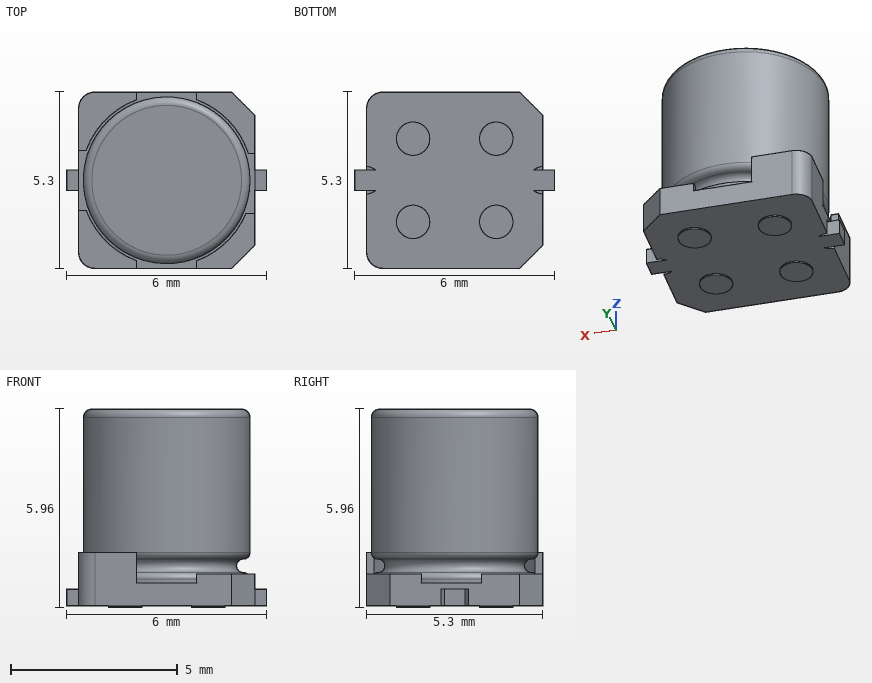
import cadquery as cq


base_size = 5.3
half_base = base_size / 2
corner_radius = 0.5
corner_chamfer = 0.7
high_pillar_top = 1.6
low_pillar_top = 0.96
recess_floor = 0.69
recess_radius = 2.58
notch_width = 1.8
right_notch_shift = -0.1

can_radius = 2.5
can_top = 5.905
top_fillet = 0.25
bead_radius = 0.201
groove_top = high_pillar_top - bead_radius
groove_bottom = groove_top - 2 * bead_radius
can_foot = groove_bottom - bead_radius
neck_radius = can_radius - bead_radius

terminal_span = 6.0
terminal_width = 0.62
terminal_height = 0.5
relief_diameter = 0.82

foot_diameter = 1.0
foot_height = 0.05
foot_spacing = 2.495


def block(x_range, y_range, z_range):
    """Axis-aligned box between the given limits."""
    size = [high - low for low, high in (x_range, y_range, z_range)]
    corner = (x_range[0], y_range[0], z_range[0])
    return cq.Workplane("XY").box(*size, centered=False).translate(corner)


def make_base():
    """Square base with four pillars standing around the round recess."""
    base = cq.Workplane("XY").rect(base_size, base_size).extrude(high_pillar_top)
    base = base.edges("|Z and <X").fillet(corner_radius)
    base = base.edges("|Z and >X").chamfer(corner_chamfer)

    recess = (
        cq.Workplane("XY", origin=(0, 0, recess_floor))
        .circle(recess_radius)
        .extrude(high_pillar_top - recess_floor)
    )
    half_notch = notch_width / 2
    full_range = (-half_base, half_base)
    left_notch_y = (-half_notch, half_notch)
    right_notch_y = (right_notch_shift - half_notch, right_notch_shift + half_notch)
    open_z = (recess_floor, high_pillar_top)

    base = base.cut(recess)
    base = base.cut(block((-half_notch, half_notch), full_range, open_z))
    base = base.cut(block((-half_base, 0), left_notch_y, open_z))
    base = base.cut(block((0, half_base), right_notch_y, open_z))
    return base.cut(block((0, half_base), full_range, (low_pillar_top, high_pillar_top)))


def make_can():
    """Can with a rounded rim and a half-round crimp groove near its foot."""
    groove_centre = (groove_top + groove_bottom) / 2
    top_corner = (can_radius, high_pillar_top)
    foot_corner = (can_radius, can_foot)
    profile = (
        cq.Workplane("XZ")
        .moveTo(0, recess_floor)
        .lineTo(can_radius, recess_floor)
        .lineTo(*foot_corner)
        .radiusArc((neck_radius, groove_bottom), -bead_radius)
        .threePointArc((neck_radius - bead_radius, groove_centre), (neck_radius, groove_top))
        .radiusArc(top_corner, -bead_radius)
        .lineTo(can_radius, can_top - top_fillet)
        .radiusArc((can_radius - top_fillet, can_top), -top_fillet)
        .lineTo(0, can_top)
        .close()
    )
    return profile.revolve(360, (0, 0, 0), (0, 1, 0))


def make_terminal_reliefs():
    """Round pockets in the two end faces of the base, open at the underside."""
    centres = [(-half_base, 0), (half_base, 0)]
    return cq.Workplane("XY").pushPoints(centres).circle(relief_diameter / 2).extrude(terminal_height)


def make_terminals():
    """Flat strip that runs through the base and sticks out at both ends."""
    return cq.Workplane("XY").rect(terminal_span, terminal_width).extrude(terminal_height)


def make_feet():
    """Four thin round stand-off feet under the base."""
    return (
        cq.Workplane("XY")
        .rect(foot_spacing, foot_spacing, forConstruction=True)
        .vertices()
        .circle(foot_diameter / 2)
        .extrude(-foot_height)
    )


result = (
    make_base()
    .cut(make_terminal_reliefs())
    .union(make_terminals())
    .union(make_can())
    .union(make_feet())
)